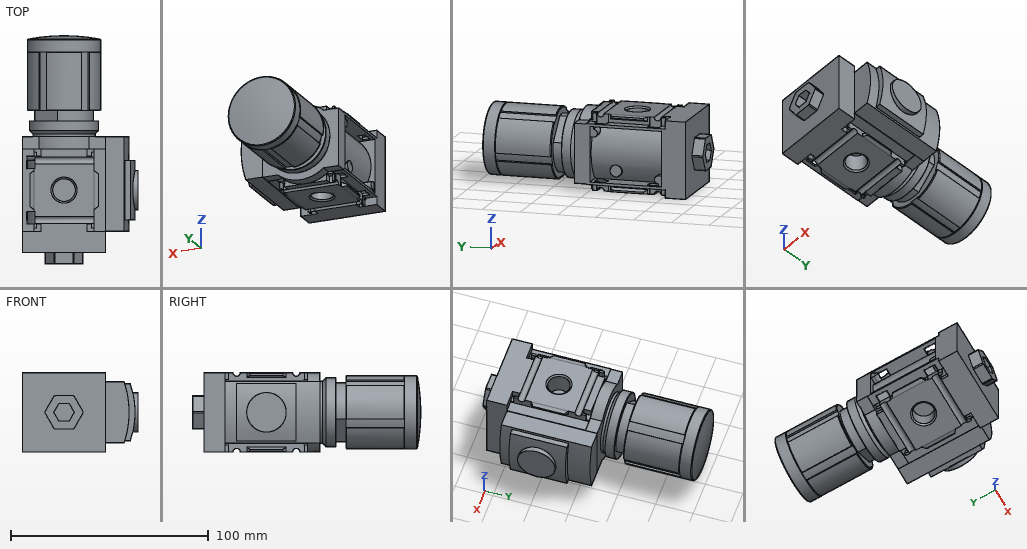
import cadquery as cq
import math

TOTAL_LENGTH = 115.5

HALF_WIDTH = 21.0
HALF_HEIGHT = 20.1
FRONT_BLOCK_END = 10.7
FRAME_END = 52.4
HOUSING_END = 58.7
STRIP_HALF_HEIGHT = 15.8
BACK_CORNER_HALF_HEIGHT = 15.6

PLATE_HALF_WIDTH = 15.1
PLATE_CENTRE_Y = (FRONT_BLOCK_END + FRAME_END) / 2
GROOVE_RADIUS = 3.6 / 2
GROOVE_SPACING = 30.1
CORNER_RECESS_LENGTH = 3.7
CORNER_RECESS_WIDTH = 3.6
CORNER_RECESS_FLOOR = 16.6
POST_LENGTH = 2.1
POST_WIDTH = 1.3
POST_FILLET = 0.6

TAB_REACH = 2.2
TAB_LENGTH = 19.8
TAB_CORNER = 1.6
TAB_EDGE_TOP = 19.6
TAB_EDGE_BOTTOM = 18.7
TAB_ROOT_BOTTOM = 17.7

PORT_DIAMETER = 11.4
PORT_MOUTH_DIAMETER = 13.2
PORT_CHAMFER_DEPTH = 0.8
PORT_DEPTH = 11.5

POCKET_LENGTH = 37.8
POCKET_HALF_HEIGHT = 14.4
CORE_RADIUS = 18.7
LUG_RADIUS = 2.1
LUG_OFFSET_Z = 11.0
LUG_OUTER_X = -20.5
LUG_INSET_Y = 1.7
BUTTON_DIAMETER = 6.1
BUTTON_Y = 37.7
BUTTON_Z = -8.4
BUTTON_OUTER_X = -18.0

WINDOW_LENGTH = 6.1
WINDOW_SPACING = 28.0
WINDOW_OUTER_X = -18.8
WINDOW_INNER_X = -14.8

PLUG_LENGTH = 5.8
HEXAGON_SIDES = 6
PLUG_FLATS = 17.0
PLUG_CORNER_DIAMETER = 19.2
SOCKET_FLATS = 9.0
SOCKET_DEPTH = PLUG_LENGTH

NECK_RADIUS = 31.6 / 2
COLLAR_RADIUS = 35.0 / 2
COLLAR_CONE_START = 60.1
COLLAR_CONE_END = COLLAR_CONE_START + COLLAR_RADIUS - NECK_RADIUS
COLLAR_END = 66.6
COLLAR_CHAMFER = 0.2
SPINDLE_RADIUS = 15.0
SPINDLE_FLAT_DISTANCE = 12.7
SPINDLE_FLAT_ANGLE = 45.0

KNOB_RADIUS = 37.2 / 2
KNOB_START = 71.7
KNOB_CAP_START = 101.5
KNOB_RIM = 108.0
KNOB_TOP = TOTAL_LENGTH - PLUG_LENGTH
KNOB_CHAMFER = 0.5
SEAM_WIDTH = 0.3
SEAM_DEPTH = 0.2
FLUTE_COUNT = 5
FLUTE_FLOOR_RADIUS = 17.5
FLUTE_WIDTH = 4.7
FLUTE_FIRST_ANGLE = 54.0

GAUGE_HALF_HEIGHT = 15.5
GAUGE_EDGE_X = 30.4
GAUGE_CROWN_X = 32.9
BEZEL_HALF_HEIGHT = 14.4
BEZEL_LENGTH = 30.0
BEZEL_EDGE_X = 33.5
BEZEL_CROWN_X = 35.9
DIAL_DIAMETER = 20.0
DIAL_OUTER_X = 37.4


def box(x_range, y_range, z_range):
    """Axis-aligned box between the given limits."""
    (x0, x1), (y0, y1), (z0, z1) = (sorted(limits) for limits in (x_range, y_range, z_range))
    return cq.Workplane("XY").box(x1 - x0, y1 - y0, z1 - z0, centered=False).translate((x0, y0, z0))


def section_at(y):
    """Plane across the knob axis whose X is the part X and whose extrusions run toward +Y."""
    return cq.Workplane(cq.Plane(origin=(0, y, 0), xDir=(1, 0, 0), normal=(0, 1, 0)))


def cylinder_along_y(radius, y_start, y_end):
    return section_at(y_start).circle(radius).extrude(y_end - y_start)


def with_mirror(body, plane):
    """A feature together with its mirror image."""
    return body.union(body.mirror(plane))


def housing_block():
    width = (-HALF_WIDTH, HALF_WIDTH)
    full_height = (-HALF_HEIGHT, HALF_HEIGHT)
    strip_height = (-STRIP_HALF_HEIGHT, STRIP_HALF_HEIGHT)
    corner_height = (-BACK_CORNER_HALF_HEIGHT, BACK_CORNER_HALF_HEIGHT)
    plate_width = (-PLATE_HALF_WIDTH, PLATE_HALF_WIDTH)
    frame = (FRONT_BLOCK_END, FRAME_END)

    front = box(width, (0, FRONT_BLOCK_END), full_height)
    strips = box(width, frame, strip_height)
    plates = box(plate_width, frame, full_height)
    back = box(width, (FRAME_END, HOUSING_END), corner_height)
    back_barrel = cylinder_along_y(HALF_HEIGHT, FRAME_END, HOUSING_END)
    return front.union(strips).union(plates).union(back).union(back_barrel)


def clamping_tabs():
    """Tabs with sloped faces and cut corners, on both sides of both plates."""
    tip_x = PLATE_HALF_WIDTH + TAB_REACH
    half_length = TAB_LENGTH / 2
    tab = (
        cq.Workplane("XZ", origin=(0, PLATE_CENTRE_Y + half_length, 0))
        .moveTo(0, HALF_HEIGHT)
        .lineTo(PLATE_HALF_WIDTH, HALF_HEIGHT)
        .lineTo(tip_x, TAB_EDGE_TOP)
        .lineTo(tip_x, TAB_EDGE_BOTTOM)
        .lineTo(PLATE_HALF_WIDTH, TAB_ROOT_BOTTOM)
        .lineTo(0, TAB_ROOT_BOTTOM)
        .close()
        .extrude(TAB_LENGTH)
    )
    outline = (
        cq.Workplane("XY", origin=(0, PLATE_CENTRE_Y, 0))
        .moveTo(0, -half_length)
        .lineTo(PLATE_HALF_WIDTH, -half_length)
        .lineTo(tip_x, TAB_CORNER - half_length)
        .lineTo(tip_x, half_length - TAB_CORNER)
        .lineTo(PLATE_HALF_WIDTH, half_length)
        .lineTo(0, half_length)
        .close()
        .extrude(HALF_HEIGHT)
    )
    return with_mirror(with_mirror(tab.intersect(outline), "YZ"), "XY")


def corner_recess(x_side, z_side, y_outer, y_direction):
    """Recess at one corner of a plate, leaving a small rounded post at its inner outside corner."""
    y_inner = y_outer - y_direction * CORNER_RECESS_LENGTH
    inner_x = PLATE_HALF_WIDTH - CORNER_RECESS_WIDTH
    heights = (z_side * CORNER_RECESS_FLOOR, z_side * HALF_HEIGHT)
    recess = box((x_side * inner_x, x_side * PLATE_HALF_WIDTH), (y_outer, y_inner), heights)
    post_x = (x_side * (PLATE_HALF_WIDTH - POST_WIDTH), x_side * PLATE_HALF_WIDTH)
    post = box(post_x, (y_inner, y_inner + y_direction * POST_LENGTH), heights)
    free_corner = "|Z and " + ("<X" if x_side > 0 else ">X") + " and " + (">Y" if y_direction > 0 else "<Y")
    return recess.cut(post.edges(free_corner).fillet(POST_FILLET))


def cut_plate_details(body):
    for z_side in (-1, 1):
        for y_direction, y_outer in ((-1, FRONT_BLOCK_END), (1, FRAME_END)):
            groove_y = PLATE_CENTRE_Y + y_direction * GROOVE_SPACING / 2
            groove = (
                cq.Workplane("YZ", origin=(-PLATE_HALF_WIDTH, groove_y, z_side * HALF_HEIGHT))
                .circle(GROOVE_RADIUS)
                .extrude(2 * PLATE_HALF_WIDTH)
            )
            body = body.cut(groove)
            for x_side in (-1, 1):
                body = body.cut(corner_recess(x_side, z_side, y_outer, y_direction))
    return body


def ports():
    """Blind chamfered bores in the top and the bottom plate."""
    port = (
        cq.Workplane("XZ", origin=(0, PLATE_CENTRE_Y, 0))
        .moveTo(0, HALF_HEIGHT)
        .lineTo(PORT_MOUTH_DIAMETER / 2, HALF_HEIGHT)
        .lineTo(PORT_DIAMETER / 2, HALF_HEIGHT - PORT_CHAMFER_DEPTH)
        .lineTo(PORT_DIAMETER / 2, HALF_HEIGHT - PORT_DEPTH)
        .lineTo(0, HALF_HEIGHT - PORT_DEPTH)
        .close()
        .revolve(360, (0, 0, 0), (0, 1, 0))
    )
    return with_mirror(port, "XY")


def side_pocket():
    """Pocket around the round core, less the two lugs and the button that stay inside it."""
    y_front = PLATE_CENTRE_Y - POCKET_LENGTH / 2
    y_back = PLATE_CENTRE_Y + POCKET_LENGTH / 2
    pocket = box((-HALF_WIDTH, 0), (y_front, y_back), (-POCKET_HALF_HEIGHT, POCKET_HALF_HEIGHT))
    pocket = pocket.cut(cylinder_along_y(CORE_RADIUS, y_front, y_back))

    for y_wall, side in ((y_front, -1), (y_back, 1)):
        lug_y = y_wall - side * LUG_INSET_Y
        lug_z = side * LUG_OFFSET_Z
        lug = (
            cq.Workplane("YZ", origin=(LUG_OUTER_X, lug_y, lug_z))
            .circle(LUG_RADIUS)
            .extrude(-LUG_OUTER_X)
        )
        web_z = (lug_z - side * LUG_RADIUS, side * POCKET_HALF_HEIGHT)
        web = box((LUG_OUTER_X, 0), (lug_y, y_wall), web_z)
        pocket = pocket.cut(lug).cut(web)

    button = (
        cq.Workplane("YZ", origin=(BUTTON_OUTER_X, BUTTON_Y, BUTTON_Z))
        .circle(BUTTON_DIAMETER / 2)
        .extrude(-BUTTON_OUTER_X)
    )
    return pocket.cut(button)


def cut_windows(body):
    """Windows through both pocket walls, nicking the side of the plates."""
    for z_side in (-1, 1):
        for y_side in (-1, 1):
            y_centre = PLATE_CENTRE_Y + y_side * WINDOW_SPACING / 2
            window = box(
                (WINDOW_OUTER_X, WINDOW_INNER_X),
                (y_centre - WINDOW_LENGTH / 2, y_centre + WINDOW_LENGTH / 2),
                (z_side * POCKET_HALF_HEIGHT, z_side * HALF_HEIGHT),
            )
            body = body.cut(window)
    return body


def hexagon_prism(across_flats, y_start, y_end):
    """Hexagon along Y with corners pointing along X."""
    across_corners = across_flats / math.cos(math.pi / HEXAGON_SIDES)
    return section_at(y_start).polygon(HEXAGON_SIDES, across_corners).extrude(y_end - y_start)


def plug():
    head = hexagon_prism(PLUG_FLATS, -PLUG_LENGTH, 0)
    return head.intersect(cylinder_along_y(PLUG_CORNER_DIAMETER / 2, -PLUG_LENGTH, 0))


def plug_socket():
    return hexagon_prism(SOCKET_FLATS, -PLUG_LENGTH, SOCKET_DEPTH - PLUG_LENGTH)


def collar():
    return (
        cq.Workplane("XY")
        .moveTo(0, HOUSING_END)
        .lineTo(NECK_RADIUS, HOUSING_END)
        .lineTo(NECK_RADIUS, COLLAR_CONE_START)
        .lineTo(COLLAR_RADIUS, COLLAR_CONE_END)
        .lineTo(COLLAR_RADIUS, COLLAR_END - COLLAR_CHAMFER)
        .lineTo(COLLAR_RADIUS - COLLAR_CHAMFER, COLLAR_END)
        .lineTo(0, COLLAR_END)
        .close()
        .revolve(360, (0, 0, 0), (0, 1, 0))
    )


def spindle():
    """Round spindle with two opposite wrench flats."""
    round_bar = cylinder_along_y(SPINDLE_RADIUS, COLLAR_END, KNOB_START)
    flats = box(
        (-SPINDLE_RADIUS, SPINDLE_RADIUS),
        (COLLAR_END, KNOB_START),
        (-SPINDLE_FLAT_DISTANCE, SPINDLE_FLAT_DISTANCE),
    )
    return round_bar.intersect(flats.rotate((0, 0, 0), (0, 1, 0), -SPINDLE_FLAT_ANGLE))


def knob():
    """Domed knob with a seam under its cap and flutes along its grip."""
    rim_radius = KNOB_RADIUS - KNOB_CHAMFER
    dome_height = KNOB_TOP - KNOB_RIM
    dome_radius = (rim_radius ** 2 + dome_height ** 2) / (2 * dome_height)
    mid_radius = rim_radius / 2
    mid_y = KNOB_TOP - dome_radius + math.sqrt(dome_radius ** 2 - mid_radius ** 2)
    seam_radius = KNOB_RADIUS - SEAM_DEPTH
    body = (
        cq.Workplane("XY")
        .moveTo(0, KNOB_START)
        .lineTo(rim_radius, KNOB_START)
        .lineTo(KNOB_RADIUS, KNOB_START + KNOB_CHAMFER)
        .lineTo(KNOB_RADIUS, KNOB_CAP_START - SEAM_WIDTH)
        .lineTo(seam_radius, KNOB_CAP_START - SEAM_WIDTH)
        .lineTo(seam_radius, KNOB_CAP_START)
        .lineTo(KNOB_RADIUS, KNOB_CAP_START)
        .lineTo(KNOB_RADIUS, KNOB_RIM - KNOB_CHAMFER)
        .lineTo(rim_radius, KNOB_RIM)
        .threePointArc((mid_radius, mid_y), (0, KNOB_TOP))
        .close()
        .revolve(360, (0, 0, 0), (0, 1, 0))
    )
    flute = box((0, KNOB_RADIUS), (KNOB_START, KNOB_CAP_START), (-FLUTE_WIDTH / 2, FLUTE_WIDTH / 2))
    flute = flute.cut(cylinder_along_y(FLUTE_FLOOR_RADIUS, KNOB_START, KNOB_CAP_START))
    for index in range(FLUTE_COUNT):
        angle = FLUTE_FIRST_ANGLE + index * 360 / FLUTE_COUNT
        body = body.cut(flute.rotate((0, 0, 0), (0, 1, 0), -angle))
    return body


def make_housing():
    body = housing_block().union(clamping_tabs())
    body = cut_plate_details(body)
    body = body.cut(ports()).cut(side_pocket())
    body = cut_windows(body)
    body = body.union(plug()).cut(plug_socket())
    return body.union(collar()).union(spindle()).union(knob())


def crowned_block(half_height, edge_x, crown_x, y_start, y_end):
    """Block on the +X side of the housing whose outer face is a shallow arc."""
    return (
        cq.Workplane("XZ", origin=(0, y_end, 0))
        .moveTo(HALF_WIDTH, -half_height)
        .lineTo(edge_x, -half_height)
        .threePointArc((crown_x, 0), (edge_x, half_height))
        .lineTo(HALF_WIDTH, half_height)
        .close()
        .extrude(y_end - y_start)
    )


def make_gauge():
    case = crowned_block(GAUGE_HALF_HEIGHT, GAUGE_EDGE_X, GAUGE_CROWN_X, FRONT_BLOCK_END, HOUSING_END)
    bezel_start = PLATE_CENTRE_Y - BEZEL_LENGTH / 2
    bezel_end = PLATE_CENTRE_Y + BEZEL_LENGTH / 2
    bezel = crowned_block(BEZEL_HALF_HEIGHT, BEZEL_EDGE_X, BEZEL_CROWN_X, bezel_start, bezel_end)
    dial = (
        cq.Workplane("YZ", origin=(HALF_WIDTH, PLATE_CENTRE_Y, 0))
        .circle(DIAL_DIAMETER / 2)
        .extrude(DIAL_OUTER_X - HALF_WIDTH)
    )
    return case.union(bezel).union(dial)


housing = make_housing()
gauge = make_gauge()

result = cq.Compound.makeCompound([housing.val(), gauge.val()])